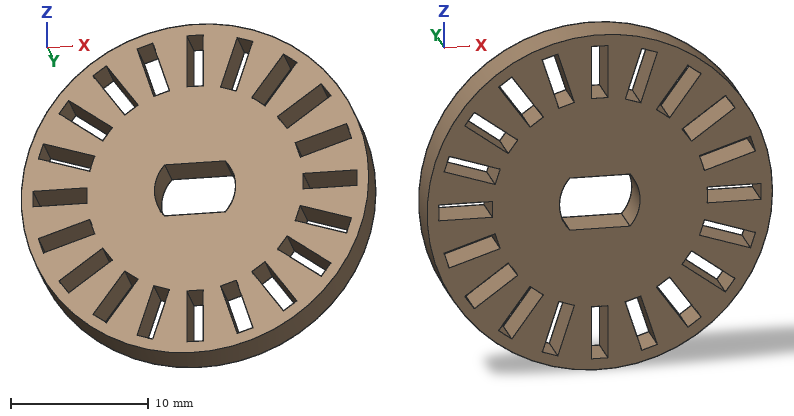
import cadquery as cq

disk_diameter = 25.75
thickness = 3.0

bore_diameter = 6.0
bore_across_flats = 4.0

slot_count = 20
slot_inner_radius = 8.0
slot_length = 4.0
slot_width = 1.2
slot_center_radius = slot_inner_radius + slot_length / 2


def cylinder(diameter):
    """Round body of the disk's thickness, with its front face at Y = -thickness."""
    return cq.Workplane("XZ").circle(diameter / 2).extrude(thickness)


def shaft_bore():
    """Cylinder trimmed by two parallel flats."""
    flats = cq.Workplane("XZ").rect(bore_diameter, bore_across_flats).extrude(thickness)
    return cylinder(bore_diameter).intersect(flats)


def radial_slots():
    """Rectangular through slots, evenly spaced and pointing outward."""
    return (
        cq.Workplane("XZ")
        .polarArray(slot_center_radius, 0, 360, slot_count)
        .rect(slot_length, slot_width)
        .extrude(thickness)
    )


result = cylinder(disk_diameter).cut(shaft_bore()).cut(radial_slots())